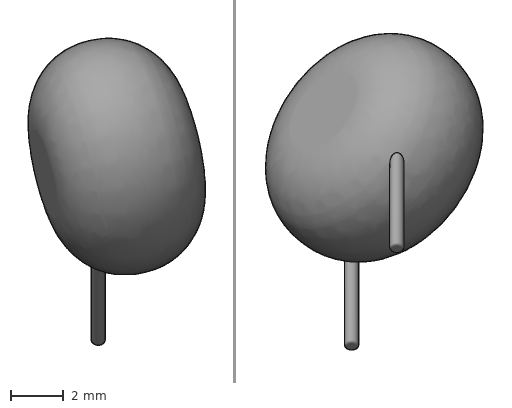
import cadquery as cq

body_diameter = 9.0
body_thickness = 5.7
rim_band_width = 0.15
body_clearance = 0.03
edge_radius = (body_thickness - rim_band_width) / 2
body_center_z = body_clearance + body_diameter / 2

lead_diameter = 0.54
lead_pitch_x = 5.0
lead_pitch_y = 3.0
lead_length_below_seat = 3.0
lead_tip_radius = 0.1


def make_body():
    """Disc with fully rounded edges, leaving a narrow rim band and flat end faces."""
    return (
        cq.Workplane("XZ", origin=(0, body_thickness / 2, body_center_z))
        .circle(body_diameter / 2)
        .extrude(body_thickness)
        .edges()
        .fillet(edge_radius)
    )


def make_lead(x, y):
    """Straight vertical lead with a rounded tip edge, ending inside the body."""
    return (
        cq.Workplane("XY", origin=(x, y, -lead_length_below_seat))
        .circle(lead_diameter / 2)
        .extrude(lead_length_below_seat + body_center_z)
        .faces("<Z")
        .edges()
        .fillet(lead_tip_radius)
    )


result = make_body()
for side in (-1, 1):
    lead = make_lead(side * lead_pitch_x / 2, -side * lead_pitch_y / 2)
    result = result.union(lead)